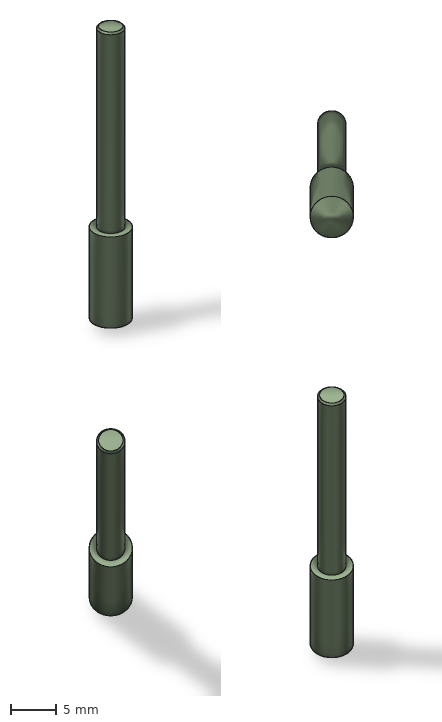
import cadquery as cq

total_length = 38.1
head_diameter = 4.8
cone_height = 1.2
head_height = 12.73
shank_diameter = 3.15
shank_chamfer = 0.23

head_radius = head_diameter / 2
shank_length = total_length - head_height


def make_head():
    """Cylindrical cutting head with a conical point at its lower end."""
    half_profile = [
        (0, 0),
        (head_radius, cone_height),
        (head_radius, head_height),
        (0, head_height),
    ]
    return cq.Workplane("XZ").polyline(half_profile).close().revolve(360, (0, 0), (0, 1))


def make_shank():
    """Round shank standing on the flat top of the head, chamfered at its free end."""
    return (
        cq.Workplane("XY")
        .workplane(offset=head_height)
        .circle(shank_diameter / 2)
        .extrude(shank_length)
        .faces(">Z")
        .chamfer(shank_chamfer)
    )


head = make_head()
shank = make_shank()

result = cq.Compound.makeCompound([head.val(), shank.val()])